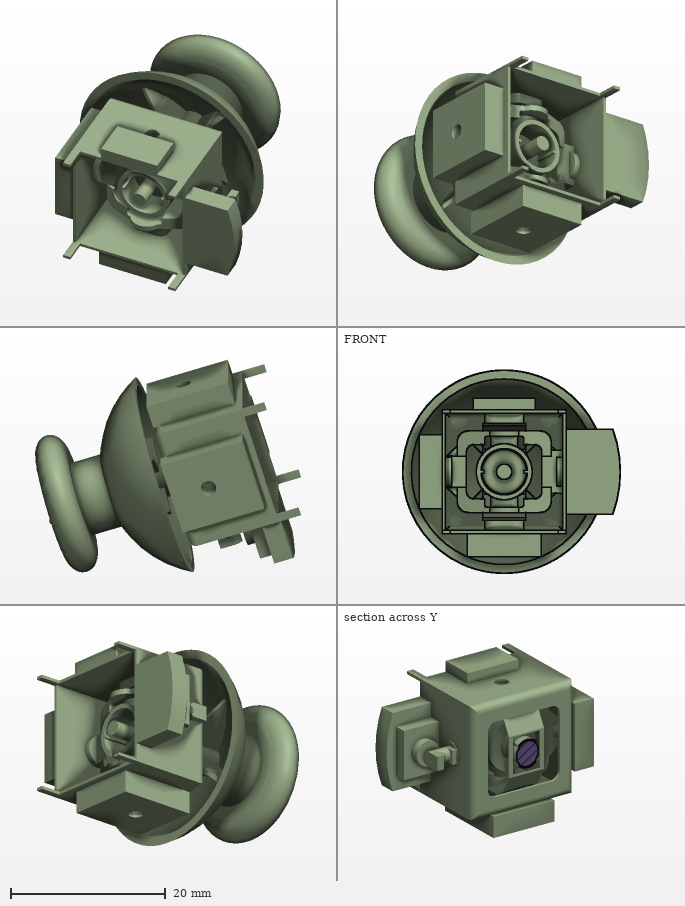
import cadquery as cq


HOUSING_WIDTH = 16.0
HALF = HOUSING_WIDTH / 2
WALL = 0.4
INNER_HALF = HALF - WALL
HOUSING_BACK = 5.0
HOUSING_DEPTH = 12.0
HOUSING_FRONT = HOUSING_BACK - HOUSING_DEPTH
HOUSING_EDGE_RADIUS = 1.0
OPENING_SIZE_X = 11.35
OPENING_SIZE_Z = 10.57
OPENING_CORNER = 1.25
LEG_WIDTH = 1.0
LEG_LENGTH = 3.0
PIVOT_PIN_DIAMETER = 2.0
PIVOT_HOLE_DIAMETER = 2.08

KNOB_DIAMETER = 18.4
KNOB_THICKNESS = 4.1
KNOB_TOP = 21.27
KNOB_FACE_DIAMETER = 13.25
NECK_DIAMETER = 9.75
NECK_BASE = 13.22
DOME_RIM = 6.0
DOME_RADIUS = 14.77
DOME_CENTER = -0.75
DOME_WALL = 1.0
GRIP_DOT_RADIUS = 0.45
GRIP_DOT_HEIGHT = 0.28
GRIP_DOT_OFFSET = 5.5
HUB_DIAMETER = 4.0
HUB_FLAT = 1.35
HUB_END = 4.5
SHAFT_DIAMETER = 3.5
SHAFT_TIP = 14.2
FIN_THICKNESS = 0.5
FIN_ROOT_THICKNESS = 0.75
FIN_FRONT = 6.3
FIN_STEP_RADIUS = 5.55
FIN_STEP = 8.85
FIN_OUTER_RADIUS = 8.5
FIN_OUTER = 10.05

POT_WIDTH = 9.55
POT_LENGTH = 11.0
POT_THICKNESS = 3.0
HEADER_WIDTH = 8.0
HEADER_LENGTH = 5.0
HEADER_THICKNESS = 1.5
SWITCH_WIDTH = 11.0
SWITCH_SIDE_END = 14.05
SWITCH_ARC_END = 15.02
SWITCH_BASE_HEIGHT = 2.5
SWITCH_TIER_END = 13.5
SWITCH_TIER_WIDTH = 6.95
SWITCH_TIER_HEIGHT = 1.75
SWITCH_BUTTON_X = 10.55
SWITCH_BUTTON_DIAMETER = 3.5
SWITCH_BUTTON_HEIGHT = 1.23

RING_SIZE_X = 12.12
RING_SIZE_Z = 10.57
RING_CORNER = 1.42
RING_HOLE_X = 9.75
RING_HOLE_Z = 7.0
RING_HOLE_CORNER = 0.95
RING_BACK = 1.9
RING_FLANK_OUTER = -0.8
RING_FLANK_INNER = -2.6
RING_NOSE_HALF = 1.9
RING_NOSE = -3.72
RING_NOTCH_X = 5.05
RING_NOTCH_Z = 9.15
RING_NOTCH_CORNER = 0.3
TAB_FRONT = RING_FLANK_OUTER
TAB_BACK = 0.8
TAB_HALF_WIDTH = 2.02
WIDE_TAB_HALF_WIDTH = 2.78
WIDE_TAB_START = 5.93
GUSSET_TIP = 7.45
GUSSET_HALF_WIDTH = 3.3
BOSS_DIAMETER = 4.1
BOSS_LENGTH = 0.82
KEY_WIDTH = 0.98
KEY_HEIGHT = 1.65
KEY_END = -10.0
FLANGE_DIAMETER = 3.28
FLANGE_THICKNESS = 0.1
LEVER_END = 11.52
LEVER_COLLAR_END = 8.75
LEVER_COLLAR_HEIGHT = 1.42
LEVER_HOOK_START = 10.48
LEVER_HOOK_HEIGHT = 1.95

SHEET = 0.2
YOKE_WIDTH = 5.52
YOKE_TOP = 5.55
YOKE_FLAT_HALF = 2.9
YOKE_SLOPE_END = (4.23, 5.3)
YOKE_BEND_END = (3.15, 5.95)
YOKE_LIP_END = (2.97, 6.25)
YOKE_SLOT_WIDTH = 4.25
YOKE_SLOT_LENGTH = 5.35
YOKE_LEG_WIDTH = 5.05
YOKE_LEG_FRONT = -1.42
YOKE_LEG_CORNER = 1.25
YOKE_PIN_BORE = 1.8
YOKE_PIN_PROTRUSION = 0.1

CUP_DIAMETER = 7.23
CUP_BORE = 6.0
CUP_FRONT = -2.85
CUP_FLOOR = 1.25
CUP_BACK = 2.37
CUP_KEY = 0.38
TRUNNION_DIAMETER = 3.5

PLUNGER_DIAMETER = 5.75
PLUNGER_THICKNESS = 0.63
PLUNGER_PIN_DIAMETER = 2.0
PLUNGER_PIN_FRONT = -4.0


def box(x0, x1, y0, y1, z0, z1):
    """Box between two opposite corners."""
    return cq.Workplane("XY").box(x1 - x0, y1 - y0, z1 - z0, centered=False).translate((x0, y0, z0))


def rod_y(diameter, y0, y1):
    """Cylinder along Y on the stick axis."""
    return cq.Workplane("XZ", origin=(0, y0, 0)).circle(diameter / 2).extrude(y0 - y1)


def rod_x(diameter, x0, x1):
    """Cylinder along X on the ring's pivot axis."""
    return cq.Workplane("YZ", origin=(x0, 0, 0)).circle(diameter / 2).extrude(x1 - x0)


def rod_z(diameter, z0, z1):
    """Cylinder along Z on the yoke's pivot axis."""
    return cq.Workplane("XY", origin=(0, 0, z0)).circle(diameter / 2).extrude(z1 - z0)


def rounded_bar(size_x, size_z, y0, y1, corner):
    """Box centered on the stick axis with its four Y edges rounded."""
    return box(-size_x / 2, size_x / 2, y0, y1, -size_z / 2, size_z / 2).edges("|Y").fillet(corner)


def make_housing():
    shell = box(-HALF, HALF, HOUSING_FRONT, HOUSING_BACK, -HALF, HALF)
    shell = shell.faces(">Y").edges().fillet(HOUSING_EDGE_RADIUS)
    cavity = box(
        -INNER_HALF, INNER_HALF, HOUSING_FRONT, HOUSING_BACK - WALL, -INNER_HALF, INNER_HALF
    )
    cavity = cavity.faces(">Y").edges().fillet(HOUSING_EDGE_RADIUS - WALL)
    shell = shell.cut(cavity)
    shell = shell.cut(rounded_bar(OPENING_SIZE_X, OPENING_SIZE_Z, 0, HOUSING_BACK, OPENING_CORNER))
    shell = shell.cut(rod_x(PIVOT_HOLE_DIAMETER, -HALF, HALF))
    shell = shell.cut(rod_z(PIVOT_HOLE_DIAMETER, -HALF, HALF))
    for x0 in (-HALF, HALF - LEG_WIDTH):
        for z0 in (-HALF, INNER_HALF):
            leg = box(x0, x0 + LEG_WIDTH, HOUSING_FRONT - LEG_LENGTH, HOUSING_FRONT, z0, z0 + WALL)
            shell = shell.union(leg)
    return shell


def make_sphere_cap(radius):
    """Part of the dome sphere that lies behind the rim plane."""
    ball = cq.Workplane("XY").sphere(radius).translate((0, DOME_CENTER, 0))
    return ball.intersect(box(-radius, radius, DOME_RIM, DOME_RIM + radius, -radius, radius))


def make_fin(angle):
    """Radial fin between hub and dome with a thicker root, trimmed inside the dome wall."""
    root = box(0, FIN_STEP_RADIUS, FIN_FRONT, NECK_BASE, -FIN_ROOT_THICKNESS / 2, FIN_ROOT_THICKNESS / 2)
    web_outline = [
        (FIN_STEP_RADIUS, FIN_STEP),
        (FIN_OUTER_RADIUS, FIN_OUTER),
        (FIN_OUTER_RADIUS, NECK_BASE),
        (FIN_STEP_RADIUS, NECK_BASE),
    ]
    web = cq.Workplane("XY").polyline(web_outline).close().extrude(FIN_THICKNESS / 2, both=True)
    fin = root.union(web).rotate((0, 0, 0), (0, 1, 0), angle)
    return fin.intersect(make_sphere_cap(DOME_RADIUS - DOME_WALL / 2))


def make_cap():
    dome = make_sphere_cap(DOME_RADIUS)
    neck_radius = NECK_DIAMETER / 2
    dome = dome.intersect(rod_y(2 * DOME_RADIUS, DOME_RIM, NECK_BASE))
    dome = dome.cut(make_sphere_cap(DOME_RADIUS - DOME_WALL))
    knob_bottom = KNOB_TOP - KNOB_THICKNESS
    face_radius = KNOB_FACE_DIAMETER / 2
    edge_width = KNOB_DIAMETER / 2 - face_radius
    knob = (
        cq.Workplane("XY")
        .moveTo(0, NECK_BASE)
        .lineTo(neck_radius, NECK_BASE)
        .lineTo(neck_radius, knob_bottom)
        .lineTo(face_radius, knob_bottom)
        .ellipseArc(edge_width, KNOB_THICKNESS / 2, -90, 90, sense=1)
        .lineTo(0, KNOB_TOP)
        .close()
        .revolve(360, (0, 0, 0), (0, 1, 0))
    )
    hub = rod_y(HUB_DIAMETER, HUB_END, NECK_BASE)
    radius = HUB_DIAMETER / 2
    hub = hub.intersect(box(-HUB_FLAT, HUB_FLAT, HUB_END, NECK_BASE, -radius, radius))
    cap = dome.union(knob).union(hub)
    for angle in (45, 135, 225, 315):
        cap = cap.union(make_fin(angle))
    dot = (
        cq.Workplane("XY")
        .sphere(GRIP_DOT_RADIUS)
        .translate((0, KNOB_TOP + GRIP_DOT_HEIGHT - GRIP_DOT_RADIUS, GRIP_DOT_OFFSET))
    )
    for angle in (0, 90, 180, 270):
        cap = cap.union(dot.rotate((0, 0, 0), (0, 1, 0), angle))
    return cap.cut(rod_y(SHAFT_DIAMETER, HUB_END, SHAFT_TIP))


def make_pot_x():
    half = POT_WIDTH / 2
    body = box(-HALF - POT_THICKNESS, -HALF, HOUSING_BACK - POT_LENGTH, HOUSING_BACK, -half, half)
    return body.cut(rod_x(PIVOT_PIN_DIAMETER, -HALF - POT_THICKNESS, -HALF))


def make_pot_z():
    """Same potentiometer, turned a quarter about Y to sit under the housing."""
    return make_pot_x().rotate((0, 0, 0), (0, 1, 0), -90)


def make_header():
    half = HEADER_WIDTH / 2
    return box(-half, half, HOUSING_FRONT, HOUSING_FRONT + HEADER_LENGTH, HALF, HALF + HEADER_THICKNESS)


def make_switch():
    half = SWITCH_WIDTH / 2
    base = (
        cq.Workplane("XZ", origin=(0, HOUSING_FRONT, 0))
        .moveTo(HALF, -half)
        .lineTo(SWITCH_SIDE_END, -half)
        .threePointArc((SWITCH_ARC_END, 0), (SWITCH_SIDE_END, half))
        .lineTo(HALF, half)
        .close()
        .extrude(-SWITCH_BASE_HEIGHT)
    )
    tier_bottom = HOUSING_FRONT + SWITCH_BASE_HEIGHT
    tier_top = tier_bottom + SWITCH_TIER_HEIGHT
    tier_half = SWITCH_TIER_WIDTH / 2
    tier = box(HALF, SWITCH_TIER_END, tier_bottom, tier_top, -tier_half, tier_half)
    button = rod_y(SWITCH_BUTTON_DIAMETER, tier_top, tier_top + SWITCH_BUTTON_HEIGHT)
    return base.union(tier).union(button.translate((SWITCH_BUTTON_X, 0, 0)))


def make_ring_frame():
    """Frame with a rounded nose along Z, flanks leaning back to both sides."""
    half = RING_SIZE_X / 2
    frame = (
        cq.Workplane("XY", origin=(0, 0, -RING_SIZE_Z / 2))
        .moveTo(-half, RING_BACK)
        .lineTo(-half, RING_FLANK_OUTER)
        .lineTo(-RING_NOSE_HALF, RING_FLANK_INNER)
        .threePointArc((0, RING_NOSE), (RING_NOSE_HALF, RING_FLANK_INNER))
        .lineTo(half, RING_FLANK_OUTER)
        .lineTo(half, RING_BACK)
        .close()
        .extrude(RING_SIZE_Z)
    )
    return frame.intersect(rounded_bar(RING_SIZE_X, RING_SIZE_Z, RING_NOSE, RING_BACK, RING_CORNER))


def make_gusset(side):
    """Tapered web behind a tab."""
    root = RING_SIZE_X / 2
    outline = [
        (side * root, -GUSSET_HALF_WIDTH),
        (side * GUSSET_TIP, -TAB_HALF_WIDTH),
        (side * GUSSET_TIP, TAB_HALF_WIDTH),
        (side * root, GUSSET_HALF_WIDTH),
    ]
    web = cq.Workplane("XZ", origin=(0, TAB_BACK, 0)).polyline(outline).close()
    return web.extrude(TAB_BACK - RING_BACK)


def make_lever():
    """Arm on the +X pin that presses the switch."""
    radius = PIVOT_PIN_DIAMETER / 2
    lever = rod_x(PIVOT_PIN_DIAMETER, INNER_HALF, LEVER_END)
    lever = lever.union(rod_x(FLANGE_DIAMETER, HALF, HALF + FLANGE_THICKNESS))
    lever = lever.union(box(HALF, LEVER_COLLAR_END, 0, LEVER_COLLAR_HEIGHT, -radius, radius))
    return lever.union(box(LEVER_HOOK_START, LEVER_END, 0, LEVER_HOOK_HEIGHT, -radius, radius))


def make_ring():
    ring = make_ring_frame()
    start = RING_HOLE_X / 2
    for side in (-1, 1):
        x0, x1 = sorted((side * start, side * INNER_HALF))
        ring = ring.cut(box(x0, x1, RING_NOSE, TAB_FRONT, -TAB_HALF_WIDTH, TAB_HALF_WIDTH))
        ring = ring.union(box(x0, x1, TAB_FRONT, TAB_BACK, -TAB_HALF_WIDTH, TAB_HALF_WIDTH))
        ring = ring.union(make_gusset(side))
        x0, x1 = sorted((side * INNER_HALF, side * (INNER_HALF - BOSS_LENGTH)))
        ring = ring.union(rod_x(BOSS_DIAMETER, x0, x1))
    wide_half = WIDE_TAB_HALF_WIDTH
    ring = ring.union(box(WIDE_TAB_START, INNER_HALF, TAB_FRONT, TAB_BACK, -wide_half, wide_half))
    ring = ring.cut(rounded_bar(RING_HOLE_X, RING_HOLE_Z, RING_NOSE, RING_BACK, RING_HOLE_CORNER))
    ring = ring.cut(rounded_bar(RING_NOTCH_X, RING_NOTCH_Z, RING_NOSE, RING_BACK, RING_NOTCH_CORNER))
    ring = ring.union(make_lever())
    ring = ring.union(rod_x(PIVOT_PIN_DIAMETER, -HALF, -INNER_HALF))
    key_y = KEY_HEIGHT / 2
    key_z = KEY_WIDTH / 2
    return ring.union(box(KEY_END, -HALF, -key_y, key_y, -key_z, key_z))


def make_yoke():
    """Bent sheet strip across the stick with a leg and a hollow pivot pin at each end."""
    upper_half = [(YOKE_TOP, YOKE_FLAT_HALF), YOKE_SLOPE_END, YOKE_BEND_END, YOKE_LIP_END]
    outer = [(y, -z) for y, z in reversed(upper_half)] + upper_half
    inner = [(y - SHEET, z) for y, z in reversed(outer)]
    yoke = cq.Workplane("YZ").polyline(outer + inner).close().extrude(YOKE_WIDTH / 2, both=True)
    slot_half = YOKE_SLOT_WIDTH / 2
    slot_end = YOKE_SLOT_LENGTH / 2
    yoke = yoke.cut(box(-slot_half, slot_half, 0, YOKE_TOP, -slot_end, slot_end))
    leg_half = YOKE_LEG_WIDTH / 2
    leg_back, leg_root = YOKE_LIP_END
    pin_end = HALF + YOKE_PIN_PROTRUSION
    for side in (-1, 1):
        z0, z1 = sorted((side * leg_root, side * INNER_HALF))
        leg = box(-leg_half, leg_half, YOKE_LEG_FRONT, leg_back, z0, z1)
        leg = leg.faces("<Y").edges("|Z").fillet(YOKE_LEG_CORNER)
        pin = rod_z(PIVOT_PIN_DIAMETER, *sorted((side * INNER_HALF, side * pin_end)))
        bore = rod_z(YOKE_PIN_BORE, *sorted((side * (leg_root + SHEET), side * pin_end)))
        yoke = yoke.union(leg).union(pin).cut(bore)
    return yoke


def make_cup_keys():
    """Two ribs on the cup's inside that stop the plunger from turning."""
    outer = CUP_BORE / 2
    key_half = CUP_KEY / 2
    ribs = box(-outer, outer, CUP_FRONT, CUP_FLOOR, -key_half, key_half)
    return ribs.cut(rod_y(CUP_BORE - 2 * CUP_KEY, CUP_FRONT, CUP_FLOOR))


def make_stick():
    """Cup with two trunnions along Z in front of the shaft that carries the cap."""
    stick = rod_y(CUP_DIAMETER, CUP_FRONT, CUP_BACK)
    trunnion_end = RING_NOTCH_Z / 2
    stick = stick.union(rod_z(TRUNNION_DIAMETER, -trunnion_end, trunnion_end))
    stick = stick.union(rod_y(SHAFT_DIAMETER, CUP_FLOOR, SHAFT_TIP))
    stick = stick.cut(rod_y(CUP_BORE, CUP_FRONT, CUP_FLOOR))
    return stick.union(make_cup_keys())


def make_plunger():
    """Disc with a pin, sliding in the cup and notched around its keys."""
    disc = rod_y(PLUNGER_DIAMETER, CUP_FLOOR - PLUNGER_THICKNESS, CUP_FLOOR)
    disc = disc.cut(make_cup_keys())
    return disc.union(rod_y(PLUNGER_PIN_DIAMETER, PLUNGER_PIN_FRONT, CUP_FLOOR))


result = cq.Compound.makeCompound(
    [
        make_housing().val(),
        make_cap().val(),
        make_pot_x().val(),
        make_pot_z().val(),
        make_header().val(),
        make_switch().val(),
        make_ring().val(),
        make_yoke().val(),
        make_stick().val(),
        make_plunger().val(),
    ]
)